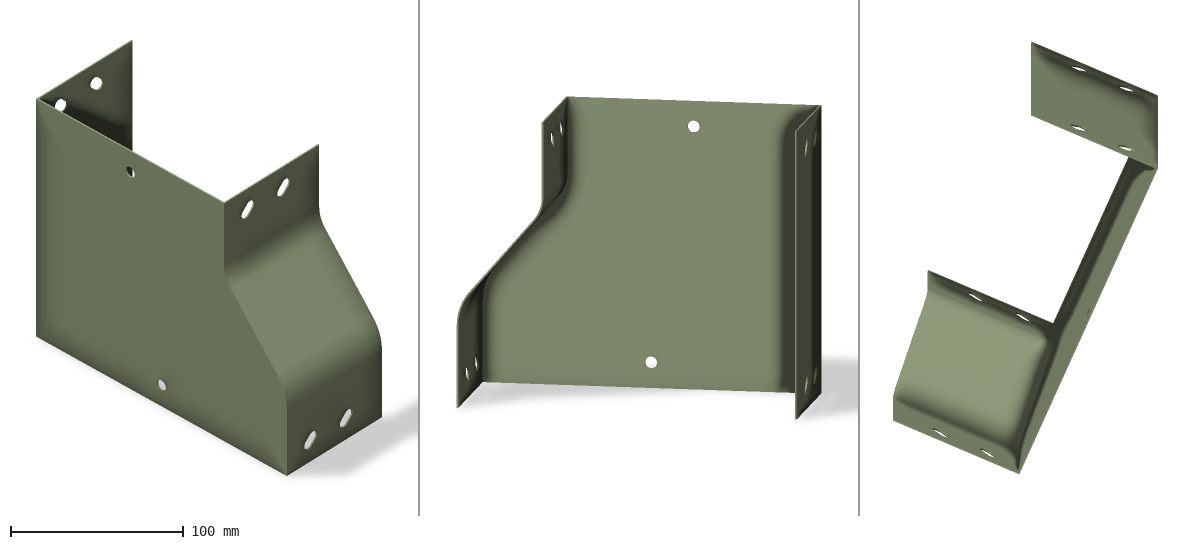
import cadquery as cq

bottom_width = 200.0
top_width = 150.0
depth = 80.0
height = 170.0
thickness = 1.0

lower_corner_z = 60.0
upper_corner_z = 118.0
lower_bend_radius = 30.0
upper_bend_radius = 20.0

end_margin = 15.0
hole_diameter = 7.0
slot_width = 7.0
slot_length = 12.0
slot_tilt = 45.0
slot_setbacks = (20.0, 50.0)

front_y = -depth / 2
end_heights = (end_margin, height - end_margin)


def channel():
    """Front plate and two side walls, the right one following the reducing outline."""
    block = (
        cq.Workplane("XZ", origin=(0, depth / 2, 0))
        .polyline([
            (0, 0),
            (bottom_width, 0),
            (bottom_width, lower_corner_z),
            (top_width, upper_corner_z),
            (top_width, height),
            (0, height),
        ])
        .close()
        .extrude(depth)
    )
    lower_corner = cq.NearestToPointSelector((bottom_width, 0, lower_corner_z))
    upper_corner = cq.NearestToPointSelector((top_width, 0, upper_corner_z))
    block = block.edges("|Y").edges(lower_corner).fillet(lower_bend_radius)
    block = block.edges("|Y").edges(upper_corner).fillet(upper_bend_radius)
    return block.faces(">Y or >Z or <Z").shell(-thickness)


def front_holes():
    """One round hole centred on the width at each end."""
    centres = [
        (bottom_width / 2, end_heights[0]),
        (top_width / 2, end_heights[1]),
    ]
    return (
        cq.Workplane("XZ", origin=(0, front_y + 2 * thickness, 0))
        .pushPoints(centres)
        .circle(hole_diameter / 2)
        .extrude(3 * thickness)
    )


def wall_slots(outer_x, z, tilt):
    """Pair of tilted slots through the side wall whose outer face is at outer_x."""
    centres = [(front_y + setback, z) for setback in slot_setbacks]
    return (
        cq.Workplane("YZ", origin=(outer_x, 0, 0))
        .pushPoints(centres)
        .slot2D(slot_length, slot_width, tilt)
        .extrude(2 * thickness, both=True)
    )


result = channel().cut(front_holes())
for slot_z, right_wall_x in zip(end_heights, (bottom_width, top_width)):
    result = result.cut(wall_slots(0, slot_z, -slot_tilt))
    result = result.cut(wall_slots(right_wall_x, slot_z, slot_tilt))